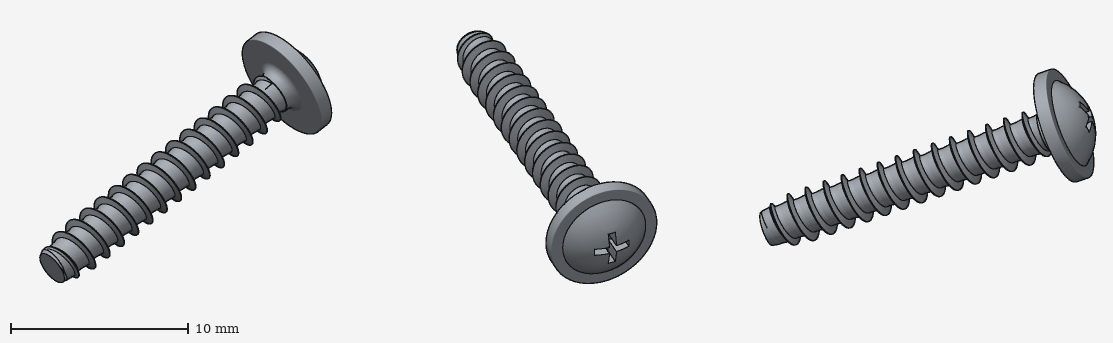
import cadquery as cq
import math


flange_radius = 3.25
flange_thickness = 0.82
flange_edge_radius = 0.05
dome_base_radius = 2.55
dome_height = 1.265
head_height = flange_thickness + dome_height

recess_span = 2.1
recess_slot_width = 0.43
recess_depth = 1.2

shank_length = 18.0
neck_radius = 1.19
neck_fillet_radius = 0.48
neck_end = 0.73
core_start = 1.1
core_radius = 1.05
shoulder_radius = 1.12
tip_radius = 1.0
tip_taper_length = 0.35

thread_radius = 1.5
thread_pitch = 1.12
thread_start_depth = 0.64
thread_turns = 15.25
run_in_turns = 1.0
run_in_radius = 1.27
run_out_turns = 1.5
run_out_radius = 1.03
thread_root_radius = 0.95
crest_width = 0.05
flank_head_reach = 0.22
flank_tip_reach = 0.14
ramp_top_radius = 1.12
ramp_end_sink = 0.005
ramp_length = 0.54
tip_trim_length = 1.0
steps_per_turn = 16


def make_screw_body():
    """Head, neck and core as one revolved solid."""
    dome_radius = (dome_base_radius**2 + dome_height**2) / (2 * dome_height)
    half_angle = math.asin(dome_base_radius / dome_radius) / 2
    dome_mid = (
        dome_radius * math.sin(half_angle),
        head_height - dome_radius * (1 - math.cos(half_angle)),
    )
    fillet_inset = neck_fillet_radius * (1 - math.sqrt(0.5))
    body = (
        cq.Workplane("XY")
        .moveTo(0, -shank_length)
        .lineTo(tip_radius, -shank_length)
        .lineTo(core_radius, tip_taper_length - shank_length)
        .lineTo(core_radius, -core_start)
        .lineTo(shoulder_radius, -neck_end)
        .lineTo(neck_radius, -neck_end)
        .lineTo(neck_radius, -neck_fillet_radius)
        .threePointArc(
            (neck_radius + fillet_inset, -fillet_inset),
            (neck_radius + neck_fillet_radius, 0),
        )
        .lineTo(flange_radius, 0)
        .lineTo(flange_radius, flange_thickness)
        .lineTo(dome_base_radius, flange_thickness)
        .threePointArc(dome_mid, (0, head_height))
        .close()
        .revolve(360, (0, 0, 0), (0, 1, 0))
    )
    flange_edges = body.edges(cq.selectors.RadiusNthSelector(-1))
    return flange_edges.fillet(flange_edge_radius)


def make_cross_recess():
    """Two crossing slots sunk into the top of the dome."""
    slot = cq.Workplane("XY").box(recess_span, 2 * recess_depth, recess_slot_width)
    cross = slot.union(slot.rotate((0, 0, 0), (0, 1, 0), 90))
    return cross.translate((0, head_height, 0))


def crest_radius_at(turn):
    """Crest radius, growing over the run-in and fading over the run-out."""
    run_in = min(1, turn / run_in_turns)
    run_out = min(1, (thread_turns - turn) / run_out_turns)
    rising = run_in_radius + (thread_radius - run_in_radius) * run_in
    falling = run_out_radius + (thread_radius - run_out_radius) * math.sqrt(run_out)
    return min(rising, falling)


def constant(radius):
    """Radius function that is the same at every turn."""
    return lambda turn: radius


def make_rail(radius_at, axial_offset, first_turn, last_turn):
    """Helical edge of the thread profile, shifted along the axis."""
    points = []
    steps = math.ceil((last_turn - first_turn) * steps_per_turn)
    for step in range(steps + 1):
        turn = first_turn + (last_turn - first_turn) * step / steps
        angle = 2 * math.pi * turn
        radius = radius_at(turn)
        depth = thread_start_depth + thread_pitch * turn
        points.append(
            cq.Vector(-radius * math.sin(angle), axial_offset - depth, radius * math.cos(angle))
        )
    return cq.Edge.makeSpline(points)


def make_thread_piece(first_turn, last_turn):
    """Sharp ridge with a shallow ramp down to the core on its tip side."""
    ramp_end = flank_tip_reach + ramp_length
    profile = [
        (constant(thread_root_radius), flank_head_reach),
        (crest_radius_at, crest_width / 2),
        (crest_radius_at, -crest_width / 2),
        (constant(ramp_top_radius), -flank_tip_reach),
        (constant(core_radius - ramp_end_sink), -ramp_end),
        (constant(thread_root_radius), -ramp_end),
    ]
    rails = [make_rail(radius_at, offset, first_turn, last_turn) for radius_at, offset in profile]
    neighbours = rails[1:] + rails[:1]
    faces = [cq.Face.makeRuledSurface(rail, other) for rail, other in zip(rails, neighbours)]
    for end in (0, 1):
        corners = [rail.positionAt(end) for rail in rails]
        faces.append(cq.Face.makeFromWires(cq.Wire.makePolygon(corners, close=True)))
    return cq.Solid.makeSolid(cq.Shell.makeShell(faces))


def make_thread_envelope():
    """Space the thread may fill: below the neck and inside a cone at the tip."""
    return (
        cq.Workplane("XY")
        .moveTo(0, -shank_length)
        .lineTo(tip_radius, -shank_length)
        .lineTo(thread_radius, tip_trim_length - shank_length)
        .lineTo(flange_radius, tip_trim_length - shank_length)
        .lineTo(flange_radius, -neck_end)
        .lineTo(0, -neck_end)
        .close()
        .revolve(360, (0, 0, 0), (0, 1, 0))
        .val()
    )


def make_thread_pieces():
    """One piece per turn, trimmed to the thread envelope."""
    envelope = make_thread_envelope()
    pieces = []
    first_turn = 0
    while first_turn < thread_turns:
        last_turn = min(first_turn + 1, thread_turns)
        pieces.append(make_thread_piece(first_turn, last_turn).intersect(envelope))
        first_turn = last_turn
    return pieces


def make_screw():
    """Body with the recess cut and every turn of thread fused on."""
    body = make_screw_body().cut(make_cross_recess())
    fused = body.val().fuse(*make_thread_pieces())
    return cq.Workplane(obj=fused.Solids()[0])


result = make_screw()